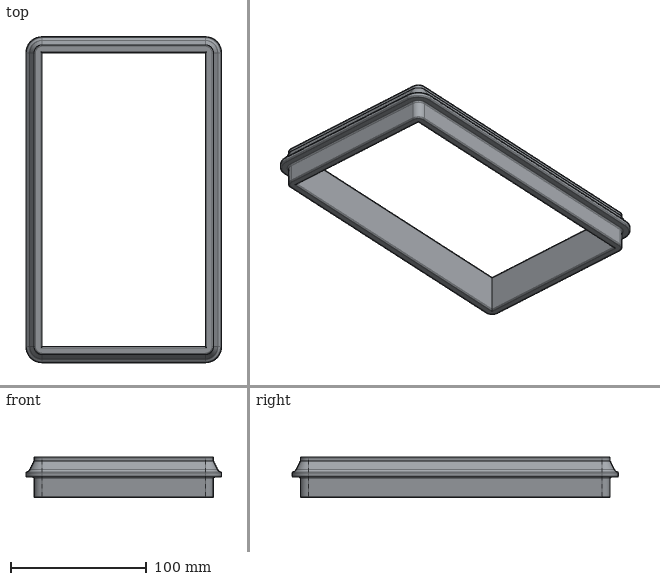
import cadquery as cq
import math

OVERALL_X = 144.0
OVERALL_Y = 240.0
HEIGHT = 30.0

WALL = 6.0
FLANGE_OVERHANG = 6.0
FLANGE_BOTTOM = 15.0
FLANGE_THICKNESS = 4.0
FLARE_TOP = 27.0
FLARE_SPREAD = 4.0

WALL_EDGE_RADIUS = 1.0
FLANGE_EDGE_RADIUS = 1.0
FLANGE_ROOT_RADIUS = 1.0
FLARE_ROOT_RADIUS = 3.0

FLANGE_TOP = FLANGE_BOTTOM + FLANGE_THICKNESS
FLANGE_REACH = WALL + FLANGE_OVERHANG
FLARE_ANGLE = math.degrees(math.atan2(FLARE_SPREAD, FLARE_TOP - FLANGE_TOP))
OPENING_X = OVERALL_X - 2 * FLANGE_REACH
OPENING_Y = OVERALL_Y - 2 * FLANGE_REACH

ORIGIN = cq.Vector(0, 0, 0)
UP = cq.Vector(0, 0, 1)


def polar(centre, radius, degrees):
    """Point at the given radius and direction from a (reach, height) centre."""
    angle = math.radians(degrees)
    return (centre[0] + radius * math.cos(angle), centre[1] + radius * math.sin(angle))


def add_arc(outline, centre, radius, start, end):
    """Run straight to the start of an arc, then along it; angles in degrees."""
    first = polar(centre, radius, start)
    middle = polar(centre, radius, (start + end) / 2)
    last = polar(centre, radius, end)
    return outline.lineTo(*first).threePointArc(middle, last)


def flare_root_arc(flange_upper):
    """Centre of the hollow arc between flare and flange, and its direction from the flange rounding."""
    slope = math.radians(FLARE_ANGLE)
    from_wall = flange_upper[0] - WALL
    from_flare_top = flange_upper[1] - FLARE_TOP
    offset_from_flare = from_wall * math.cos(slope) + from_flare_top * math.sin(slope)
    centre_distance = FLARE_ROOT_RADIUS + FLANGE_EDGE_RADIUS
    turn = math.acos((FLARE_ROOT_RADIUS - offset_from_flare) / centre_distance)
    direction = FLARE_ANGLE + math.degrees(turn)
    return polar(flange_upper, centre_distance, direction), direction


def frame_section():
    """Face in the XZ plane from the opening wall out to the flange rim."""
    wall_bottom = (WALL - WALL_EDGE_RADIUS, WALL_EDGE_RADIUS)
    wall_top = (WALL - WALL_EDGE_RADIUS, HEIGHT - WALL_EDGE_RADIUS)
    flange_root = (WALL + FLANGE_ROOT_RADIUS, FLANGE_BOTTOM - FLANGE_ROOT_RADIUS)
    flange_lower = (FLANGE_REACH - FLANGE_EDGE_RADIUS, FLANGE_BOTTOM + FLANGE_EDGE_RADIUS)
    flange_upper = (FLANGE_REACH - FLANGE_EDGE_RADIUS, FLANGE_TOP - FLANGE_EDGE_RADIUS)
    flare_root, join_angle = flare_root_arc(flange_upper)
    flare_foot_angle = 180 + FLARE_ANGLE

    outline = cq.Workplane("XZ").moveTo(0, 0)
    outline = add_arc(outline, wall_bottom, WALL_EDGE_RADIUS, -90, 0)
    outline = add_arc(outline, flange_root, FLANGE_ROOT_RADIUS, 180, 90)
    outline = add_arc(outline, flange_lower, FLANGE_EDGE_RADIUS, -90, 0)
    outline = add_arc(outline, flange_upper, FLANGE_EDGE_RADIUS, 0, join_angle)

    hollow_middle = polar(flare_root, FLARE_ROOT_RADIUS, (180 + join_angle + flare_foot_angle) / 2)
    hollow_end = polar(flare_root, FLARE_ROOT_RADIUS, flare_foot_angle)
    outline = outline.threePointArc(hollow_middle, hollow_end).lineTo(WALL, FLARE_TOP)

    outline = add_arc(outline, wall_top, WALL_EDGE_RADIUS, 0, 90)
    outline = outline.lineTo(0, HEIGHT).close()
    return cq.Face.makeFromWires(outline.val())


def straight_side(section, length, distance, angle):
    """Straight side of the frame, set out from the centre and turned about Z."""
    side = cq.Solid.extrudeLinear(section, cq.Vector(0, length, 0))
    side = side.translate(cq.Vector(distance, -length / 2, 0))
    return side.rotate(ORIGIN, UP, angle)


def round_corner(section, x, y, start_angle):
    """Quarter turn of the section about a vertical corner edge of the opening."""
    corner = cq.Solid.revolve(section, 90, ORIGIN, UP)
    return corner.rotate(ORIGIN, UP, start_angle).translate(cq.Vector(x, y, 0))


def make_frame():
    """Four straight sides joined by four rounded corners."""
    section = frame_section()
    half_x = OPENING_X / 2
    half_y = OPENING_Y / 2
    pieces = [
        straight_side(section, OPENING_Y, half_x, 0),
        straight_side(section, OPENING_X, half_y, 90),
        straight_side(section, OPENING_Y, half_x, 180),
        straight_side(section, OPENING_X, half_y, 270),
        round_corner(section, half_x, half_y, 0),
        round_corner(section, -half_x, half_y, 90),
        round_corner(section, -half_x, -half_y, 180),
        round_corner(section, half_x, -half_y, 270),
    ]
    frame = cq.Workplane(pieces[0])
    for piece in pieces[1:]:
        frame = frame.union(cq.Workplane(piece))
    return frame.clean()


def round_opening_edges(frame):
    """Round the rim of the rectangular opening at the top and bottom faces."""
    margin = WALL_EDGE_RADIUS / 2
    around_opening = cq.selectors.BoxSelector(
        (-OPENING_X / 2 - margin, -OPENING_Y / 2 - margin, -margin),
        (OPENING_X / 2 + margin, OPENING_Y / 2 + margin, HEIGHT + margin),
    )
    rims = frame.faces("<Z or >Z").edges(around_opening)
    return rims.fillet(WALL_EDGE_RADIUS)


result = round_opening_edges(make_frame())